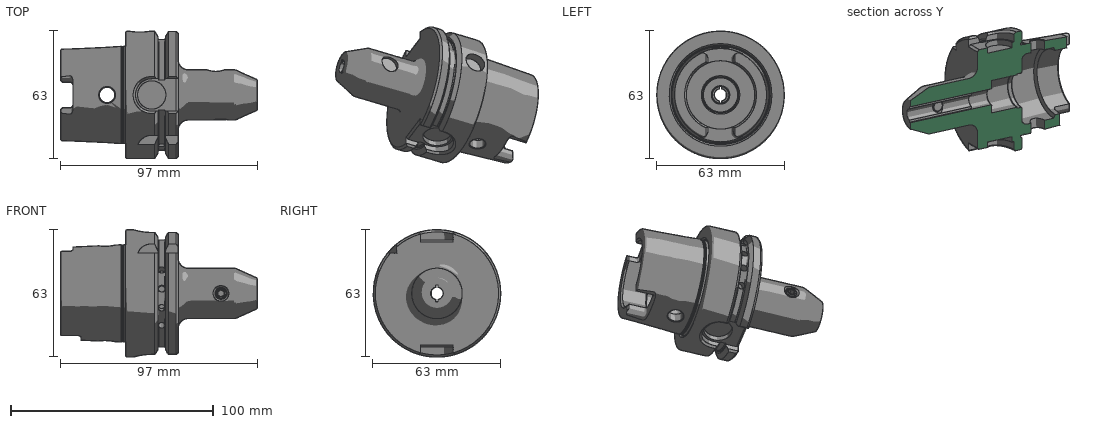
import cadquery as cq
import math


SIDES = (1, -1)

SHANK_LENGTH = 32.0
SHANK_REAR_RADIUS = 22.65
SHANK_FRONT_RADIUS = 24.1
SHANK_EDGE_FILLET = 1.0
SHANK_TAPER_END = -2.1
RELIEF_DEPTH = 0.2
RELIEF_SLOPE = 0.5
RELIEF_FLOOR = 0.4
FACE_RECESS_RADIUS = 25.3
FACE_RECESS_DEPTH = 0.8

FLANGE_LENGTH = 26.0
FLANGE_RADIUS = 31.48
FLANGE_REAR_FILLET = 1.0
FLANGE_FRONT_CHAMFER = 1.1
GROOVE_CENTER = 17.8
GROOVE_WIDTH = 3.6
GROOVE_MOUTH_WIDTH = 6.9
GROOVE_SHOULDER_RADIUS = 28.8
GROOVE_FLOOR_RADIUS = 27.45
GROOVE_FLOOR_FILLET = 0.5

NOSE_END = 65.0
NOSE_RADIUS = 12.46
NOSE_ROOT_FILLET = 4.85
NOSE_CONE_START = 54.1
NOSE_TIP_RADIUS = 7.6
NOSE_CONE_FILLET = 1.9
NOSE_TIP_FILLET = 1.0

MOUTH_RADIUS = 16.9
MOUTH_CHAMFER = 0.9
MOUTH_DEPTH = 12.8
UNDERCUT_RADIUS = 18.5
UNDERCUT_ANGLE = 60.0
CAVITY_FLOOR = 0.0
CAVITY_FLOOR_FILLET = 2.9
TUBE_SEAT_RADIUS = 8.9
TUBE_SEAT_DEPTH = 2.9
TUBE_SEAT_CHAMFER = 0.6
TUBE_BORE_RADIUS = 8.4
TUBE_BORE_END = 17.5
FEED_BORE_RADIUS = 4.1
FEED_BORE_CHAMFER = 0.5
FEED_BORE_END = 29.1
TOOL_BORE_RADIUS = 3.0
COOLANT_SLIT_WIDTH = 1.0

KEYWAY_WIDTH = 12.5
KEYWAY_DEPTHS = {1: 6.0, -1: 10.0}
KEYWAY_ROUND_RADIUS = 2.9
KEYWAY_TOP = 20.81
KEYWAY_END_FILLET = 1.5
KEYWAY_MOUTH_CHAMFER = 0.9
EDGE_MARGIN = 0.1

CLAMP_HOLE_X = -9.1
CLAMP_HOLE_RADIUS = 3.8
CLAMP_HOLE_CHAMFER = 0.4

SLOT_CENTER_X = 12.9
SLOT_HALF_WIDTH = 8.0
SLOT_FLOOR = 26.43
SLOT_CHAMFER = 1.2
SLOT_POCKET_RADIUS = 7.0
SLOT_POCKET_DEPTH = 2.8

NOTCH_OFFSET = 19.9
NOTCH_CENTER_X = 12.9
NOTCH_END_RADIUS = 7.4

BALANCE_HOLE_RADIUS = 1.65
BALANCE_HOLE_DEPTH = 4.85
BALANCE_HOLE_COUNT = 4
BALANCE_HOLE_FIRST_ANGLE = 25.0
BALANCE_HOLE_STEP = 20.0
CHIP_HOLE_X = 7.0
CHIP_HOLE_RADIUS = 5.0
CHIP_HOLE_DEPTH = 4.6
NOSE_POCKET_X = 44.5
NOSE_POCKET_RADIUS = 4.4
NOSE_POCKET_DEPTH = 1.9

SCREW_X = 47.0
SCREW_RADIUS = 2.9
SCREW_TIP = 2.6
SCREW_LENGTH = 9.7
SCREW_CHAMFER = 0.5
SCREW_HOLE_CHAMFER = 1.0
SOCKET_ACROSS_FLATS = 3.0
SOCKET_DEPTH = 3.9
SOCKET_MOUTH_RADIUS = 1.8


def x_cylinder(radius, start, end):
    return cq.Workplane("YZ").workplane(offset=start).circle(radius).extrude(end - start)


def revolved(profile):
    return cq.Workplane("XZ").polyline(profile).close().revolve(360, (0, 0, 0), (1, 0, 0))


def make_shank():
    relief_radius = SHANK_FRONT_RADIUS - RELIEF_DEPTH
    relief_start = SHANK_TAPER_END + RELIEF_SLOPE
    relief_end = relief_start + RELIEF_FLOOR
    shank = revolved([
        (-SHANK_LENGTH, 0),
        (-SHANK_LENGTH, SHANK_REAR_RADIUS),
        (SHANK_TAPER_END, SHANK_FRONT_RADIUS),
        (relief_start, relief_radius),
        (relief_end, relief_radius),
        (relief_end + RELIEF_SLOPE, SHANK_FRONT_RADIUS),
        (FACE_RECESS_DEPTH, SHANK_FRONT_RADIUS),
        (FACE_RECESS_DEPTH, 0),
    ])
    shank = shank.faces("<X").edges().fillet(SHANK_EDGE_FILLET)
    clamp_hole = (
        cq.Workplane("XY").center(CLAMP_HOLE_X, 0).circle(CLAMP_HOLE_RADIUS)
        .extrude(2 * SHANK_FRONT_RADIUS, both=True)
    )
    shank = shank.cut(clamp_hole)
    for side in SIDES:
        rim = cq.selectors.NearestToPointSelector((CLAMP_HOLE_X, 0, side * SHANK_FRONT_RADIUS))
        shank = shank.edges(rim).chamfer(CLAMP_HOLE_CHAMFER)
    return shank


def make_groove_cutter():
    half_width = GROOVE_WIDTH / 2
    half_mouth = GROOVE_MOUTH_WIDTH / 2
    cutter = revolved([
        (GROOVE_CENTER - half_width, 0),
        (GROOVE_CENTER - half_width, GROOVE_SHOULDER_RADIUS),
        (GROOVE_CENTER - half_mouth, FLANGE_RADIUS),
        (GROOVE_CENTER + half_mouth, FLANGE_RADIUS),
        (GROOVE_CENTER + half_width, GROOVE_SHOULDER_RADIUS),
        (GROOVE_CENTER + half_width, 0),
    ])
    core = x_cylinder(GROOVE_FLOOR_RADIUS, GROOVE_CENTER - half_width, GROOVE_CENTER + half_width)
    ring = cutter.cut(core)
    floor_corners = cq.selectors.RadiusNthSelector(0)
    return ring.edges(floor_corners).fillet(GROOVE_FLOOR_FILLET)


def make_slot_cutter(side):
    reach = FLANGE_RADIUS - SLOT_FLOOR
    plane = cq.Workplane("XY").workplane(offset=SLOT_FLOOR)
    round_end = plane.center(SLOT_CENTER_X, 0).circle(SLOT_HALF_WIDTH).extrude(reach)
    channel_length = FLANGE_LENGTH - SLOT_CENTER_X
    channel = (
        plane.center(SLOT_CENTER_X + channel_length / 2, 0)
        .rect(channel_length, 2 * SLOT_HALF_WIDTH)
        .extrude(reach)
    )
    cutter = round_end.union(channel)
    return cutter if side > 0 else cutter.mirror("XY")


def make_slot_pocket(side):
    start = SLOT_FLOOR - SLOT_POCKET_DEPTH
    pocket = (
        cq.Workplane("XY").workplane(offset=start)
        .center(SLOT_CENTER_X, 0).circle(SLOT_POCKET_RADIUS).extrude(SLOT_POCKET_DEPTH)
    )
    return pocket if side > 0 else pocket.mirror("XY")


def make_slot_lip_cutter(side):
    lip = (
        cq.Workplane("XZ")
        .polyline([
            (FLANGE_LENGTH - FLANGE_FRONT_CHAMFER, SLOT_FLOOR),
            (FLANGE_LENGTH, SLOT_FLOOR),
            (FLANGE_LENGTH, SLOT_FLOOR - FLANGE_FRONT_CHAMFER),
        ])
        .close()
        .extrude(SLOT_HALF_WIDTH, both=True)
    )
    return lip if side > 0 else lip.mirror("XY")


def make_notch_cutter():
    rear = NOTCH_CENTER_X - NOTCH_END_RADIUS
    middle = -NOTCH_OFFSET - NOTCH_END_RADIUS
    outside = -NOTCH_OFFSET - 2 * NOTCH_END_RADIUS
    return (
        cq.Workplane("XY").workplane(offset=NOTCH_OFFSET)
        .moveTo(NOTCH_CENTER_X, -NOTCH_OFFSET)
        .lineTo(FLANGE_LENGTH, -NOTCH_OFFSET)
        .lineTo(FLANGE_LENGTH, outside)
        .lineTo(NOTCH_CENTER_X, outside)
        .threePointArc((rear, middle), (NOTCH_CENTER_X, -NOTCH_OFFSET))
        .close()
        .extrude(FLANGE_RADIUS - NOTCH_OFFSET)
    )


def make_flange():
    flange = x_cylinder(FLANGE_RADIUS, 0, FLANGE_LENGTH)
    flange = flange.faces(">X").edges().chamfer(FLANGE_FRONT_CHAMFER)
    flange = flange.faces("<X").edges().fillet(FLANGE_REAR_FILLET)
    flange = flange.cut(revolved([
        (0, 0),
        (0, FACE_RECESS_RADIUS),
        (FACE_RECESS_DEPTH, FACE_RECESS_RADIUS - FACE_RECESS_DEPTH),
        (FACE_RECESS_DEPTH, 0),
    ]))
    for side in SIDES:
        flange = flange.cut(make_slot_cutter(side))
        rim = cq.selectors.BoxSelector(
            (0, -2 * SLOT_HALF_WIDTH, side * (SLOT_FLOOR + SLOT_CHAMFER)),
            (FLANGE_LENGTH - 2 * FLANGE_FRONT_CHAMFER, 2 * SLOT_HALF_WIDTH, side * FLANGE_RADIUS),
        )
        flange = flange.edges(rim).chamfer(SLOT_CHAMFER)
        flange = flange.cut(make_slot_lip_cutter(side)).cut(make_slot_pocket(side))
    flange = flange.cut(make_groove_cutter()).cut(make_notch_cutter())
    for index in range(BALANCE_HOLE_COUNT):
        angle = BALANCE_HOLE_FIRST_ANGLE - index * BALANCE_HOLE_STEP
        flange = flange.cut(make_balance_hole(angle))
    return flange


def make_balance_hole(angle):
    hole = (
        cq.Workplane("XZ").workplane(offset=GROOVE_FLOOR_RADIUS - BALANCE_HOLE_DEPTH)
        .center(GROOVE_CENTER, 0).circle(BALANCE_HOLE_RADIUS)
        .extrude(BALANCE_HOLE_DEPTH + GROOVE_FLOOR_FILLET)
    )
    return hole.rotate((0, 0, 0), (1, 0, 0), -angle)


def make_nose():
    nose = revolved([
        (FLANGE_LENGTH, 0),
        (FLANGE_LENGTH, NOSE_RADIUS),
        (NOSE_CONE_START, NOSE_RADIUS),
        (NOSE_END, NOSE_TIP_RADIUS),
        (NOSE_END, 0),
    ])
    nose = nose.faces(">X").edges().fillet(NOSE_TIP_FILLET)
    cone_edge = cq.selectors.NearestToPointSelector((NOSE_CONE_START, 0, 0))
    nose = nose.edges(cone_edge).fillet(NOSE_CONE_FILLET)
    screw_hole = cq.Workplane("XZ").center(SCREW_X, 0).circle(SCREW_RADIUS).extrude(NOSE_RADIUS)
    nose = nose.cut(screw_hole)
    screw_rim = cq.selectors.NearestToPointSelector((SCREW_X, -NOSE_RADIUS, 0))
    return nose.edges(screw_rim).chamfer(SCREW_HOLE_CHAMFER)


def make_nose_root():
    root_end = FLANGE_LENGTH + NOSE_ROOT_FILLET
    root_radius = NOSE_RADIUS + NOSE_ROOT_FILLET
    diagonal = NOSE_ROOT_FILLET * math.sqrt(0.5)
    return (
        cq.Workplane("XY").moveTo(FLANGE_LENGTH, 0).lineTo(FLANGE_LENGTH, root_radius)
        .threePointArc((root_end - diagonal, root_radius - diagonal), (root_end, NOSE_RADIUS))
        .lineTo(root_end, 0).close().revolve(360, (0, 0, 0), (1, 0, 0))
    )


def make_cavity():
    undercut_run = (UNDERCUT_RADIUS - MOUTH_RADIUS) / math.tan(math.radians(UNDERCUT_ANGLE))
    mouth_end = MOUTH_DEPTH - SHANK_LENGTH
    cavity = revolved([
        (-SHANK_LENGTH, 0),
        (-SHANK_LENGTH, MOUTH_RADIUS + MOUTH_CHAMFER),
        (MOUTH_CHAMFER - SHANK_LENGTH, MOUTH_RADIUS),
        (mouth_end, MOUTH_RADIUS),
        (mouth_end + undercut_run, UNDERCUT_RADIUS),
        (CAVITY_FLOOR, UNDERCUT_RADIUS),
        (CAVITY_FLOOR, 0),
    ])
    return cavity.faces(">X").edges().fillet(CAVITY_FLOOR_FILLET)


def make_axial_bores():
    bores = revolved([
        (CAVITY_FLOOR, 0),
        (CAVITY_FLOOR, TUBE_SEAT_RADIUS + TUBE_SEAT_CHAMFER),
        (CAVITY_FLOOR + TUBE_SEAT_CHAMFER, TUBE_SEAT_RADIUS),
        (CAVITY_FLOOR + TUBE_SEAT_DEPTH, TUBE_SEAT_RADIUS),
        (CAVITY_FLOOR + TUBE_SEAT_DEPTH, TUBE_BORE_RADIUS),
        (TUBE_BORE_END, TUBE_BORE_RADIUS),
        (TUBE_BORE_END, FEED_BORE_RADIUS + FEED_BORE_CHAMFER),
        (TUBE_BORE_END + FEED_BORE_CHAMFER, FEED_BORE_RADIUS),
        (FEED_BORE_END, FEED_BORE_RADIUS),
        (FEED_BORE_END, TOOL_BORE_RADIUS),
        (NOSE_END, TOOL_BORE_RADIUS),
        (NOSE_END, 0),
    ])
    slits = (
        cq.Workplane("YZ").workplane(offset=FEED_BORE_END)
        .rect(COOLANT_SLIT_WIDTH, 2 * FEED_BORE_RADIUS).extrude(NOSE_END - FEED_BORE_END)
    )
    return bores.union(slits)


def make_keyway_cutter(side, depth):
    half_width = KEYWAY_WIDTH / 2
    crest = half_width + KEYWAY_ROUND_RADIUS
    round_start = KEYWAY_TOP - KEYWAY_ROUND_RADIUS
    round_inset = KEYWAY_ROUND_RADIUS * (1 - math.sqrt(0.5))
    round_mid = (half_width + round_inset, KEYWAY_TOP - round_inset)
    outline = (
        cq.Workplane("YZ").workplane(offset=-SHANK_LENGTH)
        .moveTo(-half_width, 0).lineTo(half_width, 0).lineTo(half_width, round_start)
        .threePointArc(round_mid, (crest, KEYWAY_TOP))
        .lineTo(SHANK_FRONT_RADIUS, KEYWAY_TOP).lineTo(SHANK_FRONT_RADIUS, SHANK_FRONT_RADIUS)
        .lineTo(-SHANK_FRONT_RADIUS, SHANK_FRONT_RADIUS).lineTo(-SHANK_FRONT_RADIUS, KEYWAY_TOP)
        .lineTo(-crest, KEYWAY_TOP)
        .threePointArc((-round_mid[0], round_mid[1]), (-half_width, round_start))
        .close()
    )
    cutter = outline.extrude(depth)
    end = depth - SHANK_LENGTH
    outer_limit = SHANK_FRONT_RADIUS - EDGE_MARGIN
    inner_corners = cq.selectors.BoxSelector(
        (end - EDGE_MARGIN, -outer_limit, EDGE_MARGIN), (end + EDGE_MARGIN, outer_limit, outer_limit)
    )
    cutter = cutter.edges(inner_corners).fillet(KEYWAY_END_FILLET)
    mouth = (
        cq.Workplane("XY")
        .polyline([
            (-SHANK_LENGTH, half_width + KEYWAY_MOUTH_CHAMFER),
            (KEYWAY_MOUTH_CHAMFER - SHANK_LENGTH, half_width),
            (KEYWAY_MOUTH_CHAMFER - SHANK_LENGTH, -half_width),
            (-SHANK_LENGTH, -half_width - KEYWAY_MOUTH_CHAMFER),
        ])
        .close().extrude(KEYWAY_TOP)
    )
    cutter = cutter.union(mouth)
    return cutter if side > 0 else cutter.mirror("XY")


def make_plus_y_hole(x, radius, surface_radius, depth):
    return (
        cq.Workplane("XZ").workplane(offset=-surface_radius)
        .center(x, 0).circle(radius).extrude(depth)
    )


def make_holder():
    holder = make_shank().union(make_flange()).union(make_nose()).union(make_nose_root())
    holder = holder.cut(make_cavity()).cut(make_axial_bores())
    for side, depth in KEYWAY_DEPTHS.items():
        holder = holder.cut(make_keyway_cutter(side, depth))
    chip_hole = make_plus_y_hole(CHIP_HOLE_X, CHIP_HOLE_RADIUS, FLANGE_RADIUS, CHIP_HOLE_DEPTH)
    nose_pocket = make_plus_y_hole(NOSE_POCKET_X, NOSE_POCKET_RADIUS, NOSE_RADIUS, NOSE_POCKET_DEPTH)
    return holder.cut(chip_hole).cut(nose_pocket)


def make_screw():
    screw = (
        cq.Workplane("XZ").workplane(offset=SCREW_TIP).center(SCREW_X, 0)
        .circle(SCREW_RADIUS).extrude(SCREW_LENGTH)
        .faces("<Y or >Y").edges().chamfer(SCREW_CHAMFER)
    )
    head = SCREW_TIP + SCREW_LENGTH
    socket = (
        cq.Workplane("XZ").workplane(offset=head - SOCKET_DEPTH).center(SCREW_X, 0)
        .polygon(6, SOCKET_ACROSS_FLATS, circumscribed=True).extrude(SOCKET_DEPTH)
    )
    mouth_depth = SOCKET_MOUTH_RADIUS - SOCKET_ACROSS_FLATS / 2
    mouth = cq.Solid.makeCone(
        SOCKET_MOUTH_RADIUS, SOCKET_MOUTH_RADIUS - mouth_depth, mouth_depth,
        pnt=cq.Vector(SCREW_X, -head, 0), dir=cq.Vector(0, 1, 0),
    )
    return screw.cut(socket).cut(cq.Workplane(mouth))


holder = make_holder()
screw = make_screw()
result = cq.Compound.makeCompound([holder.val(), screw.val()])